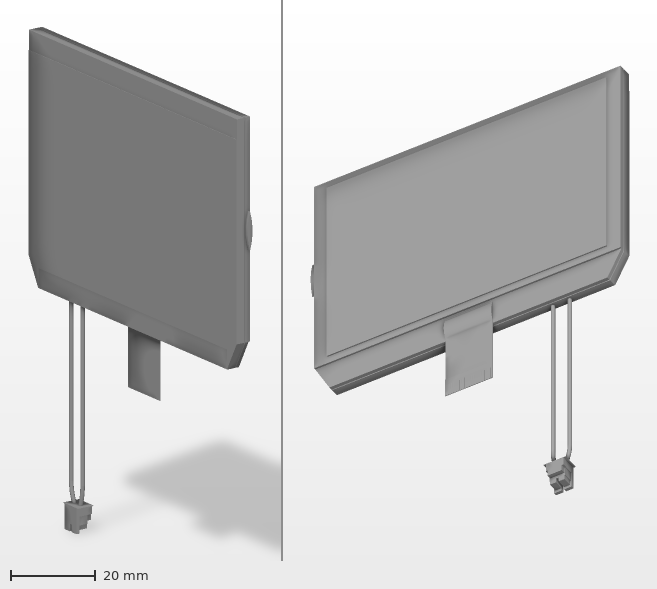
import cadquery as cq
import math

panel_width = 85.0
panel_height = 63.0
corner_run = 3.9
corner_rise = 7.3

backlight_thickness = 2.3
strip_height = 5.0
strip_recess = 0.1

glass_gap = 0.2
glass_thickness = 1.4
ledge_depth = 0.5
film_thickness = 0.4
film_side_inset = 3.7
film_top_inset = 2.1
film_height = 51.7

overall_width = 86.0
seal_length = 9.8
seal_center_z = 35.0

cable_center_x = 42.3
cable_width = 13.1
cable_thickness = 0.1
cable_drop = 16.8
cap_height = 6.0
cap_depth = 0.8
cap_bottom = 0.6
contact_count = 26
contact_width = 0.2
contact_length = 3.2
contact_thickness = 0.04
stiffener_length = 5.0
stiffener_thickness = 0.02

wire_diameter = 1.1
wire_y = 1.2
wire_straight = 44.8
wire_bend_drop = 5.1
wire_paths = [(15.8, 1.2), (20.4, -0.8)]

overall_height = 119.4
connector_center_x = 18.5
connector_width = 4.9
connector_front = -1.0
connector_depth = 4.5
block_height = 2.3
plate_thickness = 0.8
rail_thickness = 1.2
rail_height = 3.8
core_setback = 1.2
core_height = 4.5
tip_height = 5.7
side_step = 0.2
flange_width = 6.1
flange_height = 0.1
slot_width = 0.7
slot_height = 1.9

glass_front = backlight_thickness + glass_gap
glass_back = glass_front + glass_thickness
ledge_back = glass_back - ledge_depth
connector_top = -(wire_straight + wire_bend_drop)
connector_bottom = panel_height - overall_height


def block(x_range, y_range, z_range):
    """Box between two limits along each axis."""
    size = [high - low for low, high in (x_range, y_range, z_range)]
    return cq.Workplane("XY").box(*size, centered=False).translate((x_range[0], y_range[0], z_range[0]))


def centered_range(center, width):
    return (center - width / 2, center + width / 2)


def panel_plate(front, back):
    """Plate with the panel outline between two Y positions."""
    outline = [
        (corner_run, 0),
        (panel_width - corner_run, 0),
        (panel_width, corner_rise),
        (panel_width, panel_height),
        (0, panel_height),
        (0, corner_rise),
    ]
    plate = cq.Workplane("XZ").polyline(outline).close().extrude(front - back)
    return plate.translate((0, front, 0))


def make_backlight():
    strip_y = (0, strip_recess)
    top_strip = block((0, panel_width), strip_y, (panel_height - strip_height, panel_height))
    bottom_strip = block((corner_run, panel_width - corner_run), strip_y, (0, strip_height))
    return panel_plate(0, backlight_thickness).cut(top_strip).cut(bottom_strip)


def make_glass():
    ledge_space = block((0, panel_width), (ledge_back, glass_back), (0, corner_rise))
    film_top = panel_height - film_top_inset
    film = block(
        (film_side_inset, panel_width - film_side_inset),
        (glass_back, glass_back + film_thickness),
        (film_top - film_height, film_top),
    )
    return panel_plate(glass_front, glass_back).cut(ledge_space).union(film)


def make_end_seal():
    """Two arcs meeting at the top and bottom, extruded outward from the edge of the glass."""
    middle_y = (glass_front + glass_back) / 2
    low = (middle_y, seal_center_z - seal_length / 2)
    high = (middle_y, seal_center_z + seal_length / 2)
    return (
        cq.Workplane("YZ", origin=(panel_width, 0, 0))
        .moveTo(*low)
        .threePointArc((glass_back, seal_center_z), high)
        .threePointArc((glass_front, seal_center_z), low)
        .close()
        .extrude(overall_width - panel_width)
    )


def make_cable():
    cable_x = centered_range(cable_center_x, cable_width)
    cable_back = ledge_back + cable_thickness
    cable_top = cap_bottom + cap_height
    cable = block(cable_x, (ledge_back, cable_back), (-cable_drop, cable_top))
    cap = (
        cq.Workplane("YZ", origin=(cable_x[0], 0, 0))
        .moveTo(ledge_back, cap_bottom)
        .threePointArc((ledge_back + cap_depth, cap_bottom + cap_height / 2), (ledge_back, cable_top))
        .close()
        .extrude(cable_width)
    )
    stiffener_back = cable_back + stiffener_thickness
    stiffener = block(cable_x, (cable_back, stiffener_back), (-cable_drop, stiffener_length - cable_drop))
    cable = cable.union(cap).union(stiffener)
    pitch = cable_width / contact_count
    for index in range(contact_count):
        contact_x = centered_range(cable_x[0] + (index + 0.5) * pitch, contact_width)
        contact_y = (stiffener_back, stiffener_back + contact_thickness)
        contact = block(contact_x, contact_y, (-cable_drop, contact_length - cable_drop))
        cable = cable.union(contact)
    return cable


def make_wire(start_x, shift):
    """Round wire, straight down and then curving sideways to a flat end on the connector."""
    radius = (shift**2 + wire_bend_drop**2) / (2 * abs(shift))
    angle = math.asin(wire_bend_drop / radius)
    half_angle = angle / 2
    middle_x = start_x + math.copysign(radius * (1 - math.cos(half_angle)), shift)
    middle_z = -wire_straight - radius * math.sin(half_angle)
    end_x = start_x + shift
    surplus_x = end_x + math.copysign(wire_diameter * math.sin(angle), shift)
    surplus_z = connector_top - wire_diameter * math.cos(angle)
    path = (
        cq.Workplane("XZ", origin=(0, wire_y, 0))
        .moveTo(start_x, 0)
        .lineTo(start_x, -wire_straight)
        .threePointArc((middle_x, middle_z), (end_x, connector_top))
        .lineTo(surplus_x, surplus_z)
    )
    wire = cq.Workplane("XY", origin=(start_x, wire_y, 0)).circle(wire_diameter / 2).sweep(path)
    surplus_y = centered_range(wire_y, 2 * wire_diameter)
    surplus = block(centered_range(end_x, 4 * wire_diameter), surplus_y, (connector_bottom, connector_top))
    return wire.cut(surplus)


def make_connector():
    top = connector_top
    back = connector_front + connector_depth
    core_y = (connector_front + plate_thickness, back - core_setback)
    body_x = centered_range(connector_center_x, connector_width)
    core_x = centered_range(connector_center_x, connector_width - 2 * side_step)
    tip_x = centered_range(connector_center_x, connector_width - 4 * side_step)
    flange_x = centered_range(connector_center_x, flange_width)
    slot_x = centered_range(connector_center_x, slot_width)

    body = block(body_x, (connector_front, back), (top - block_height, top))
    plate = block(body_x, (connector_front, core_y[0]), (connector_bottom, top))
    rail = block(tip_x, (back - rail_thickness, back), (top - rail_height, top))
    core = block(core_x, core_y, (top - core_height, top))
    tip = block(tip_x, core_y, (top - tip_height, top))
    flange = block(flange_x, (connector_front, back), (top - flange_height, top))
    slot = block(slot_x, (connector_front, back), (connector_bottom, connector_bottom + slot_height))
    return body.union(plate).union(rail).union(core).union(tip).union(flange).cut(slot)


backlight = make_backlight()
glass = make_glass()
end_seal = make_end_seal()
cable = make_cable()
wires = [make_wire(start_x, shift) for start_x, shift in wire_paths]
connector = make_connector()

result = cq.Compound.makeCompound(
    [
        backlight.val(),
        glass.val(),
        end_seal.val(),
        cable.val(),
        *[wire.val() for wire in wires],
        connector.val(),
    ]
)